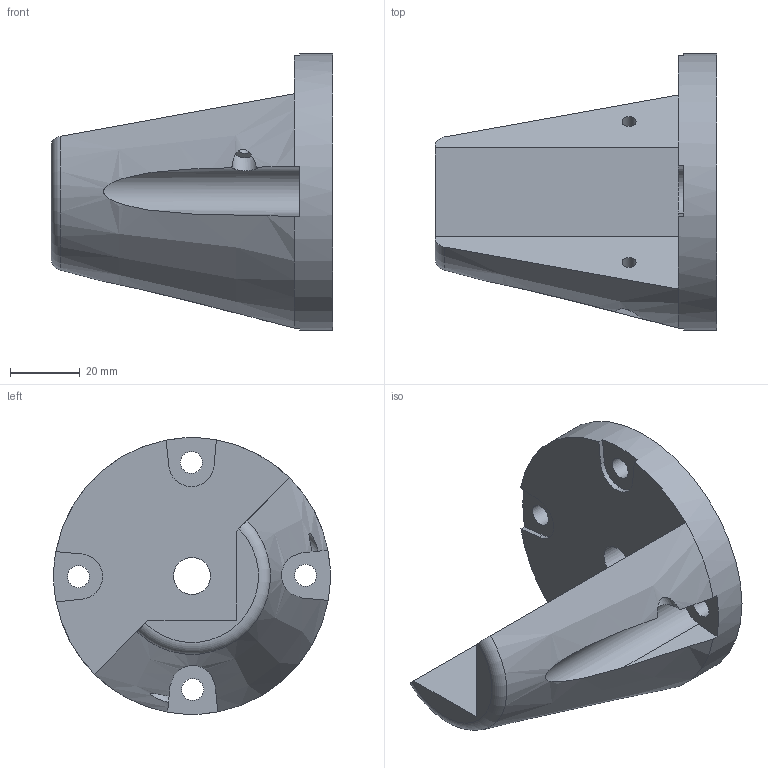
import cadquery as cq
import math

overall_length = 80.64
flange_radius = 39.6
flange_thickness = 11.0
tip_radius = 21.75
tip_fillet = 3.5

split_tilt = 45.0
square_tube = 25.4
centre_bore = 10.6

bolt_count = 4
bolt_circle_radius = 32.5
bolt_hole = 6.3
channel_centre_radius = 32.1
channel_round_radius = 6.5
channel_flare = 5.5
channel_sink = 1.5

screw_hole = 4.0
screw_head_bore = 7.5
screw_spacing = 57.4
screw_from_tip = 55.5
screw_grip = 11.3

clocking = 0.3

tip_x = -overall_length
flange_face_x = -flange_thickness
cone_length = overall_length - flange_thickness
cut_reach = 2 * flange_radius


def make_body():
    """Full cone with a rounded tip, standing on the round flange."""
    cone_profile = [
        (tip_x, 0),
        (tip_x, tip_radius),
        (flange_face_x, flange_radius),
        (0, flange_radius),
        (0, 0),
    ]
    body = cq.Workplane("XY").polyline(cone_profile).close().revolve(360, (0, 0, 0), (1, 0, 0))
    return body.faces("<X").edges().fillet(tip_fillet)


def make_split_cut():
    """Block that removes the half of the cone on the +Y +Z side."""
    block = cq.Workplane("XY").box(cone_length, 2 * cut_reach, cut_reach, centered=(False, True, False))
    return block.rotate((0, 0, 0), (1, 0, 0), -split_tilt).translate((tip_x, 0, 0))


def make_tube_seat():
    """Square seat for a tube centred on the axis, ending at the flange."""
    return cq.Workplane("YZ", origin=(tip_x, 0, 0)).rect(square_tube, square_tube).extrude(cone_length)


def make_bolt_channel():
    """Round-bottomed channel on the +Z side whose walls open outwards."""
    flare = math.radians(channel_flare)
    tangent_y = channel_round_radius * math.cos(flare)
    tangent_z = channel_centre_radius - channel_round_radius * math.sin(flare)
    outer_y = tangent_y + (cut_reach - tangent_z) * math.tan(flare)
    bottom_z = channel_centre_radius - channel_round_radius
    return (
        cq.Workplane("YZ", origin=(tip_x, 0, 0))
        .moveTo(-outer_y, cut_reach)
        .lineTo(-tangent_y, tangent_z)
        .threePointArc((0, bottom_z), (tangent_y, tangent_z))
        .lineTo(outer_y, cut_reach)
        .close()
        .extrude(cone_length + channel_sink)
    )


def make_screw_cut(side):
    """Screw hole square to the split face, with a head bore out through the cone."""
    across = side * screw_spacing / 2
    hole = cq.Workplane("XY").center(0, across).circle(screw_hole / 2).extrude(-cut_reach)
    head = (
        cq.Workplane("XY", origin=(0, 0, -screw_grip))
        .center(0, across)
        .circle(screw_head_bore / 2)
        .extrude(-cut_reach)
    )
    cut = hole.union(head)
    return cut.rotate((0, 0, 0), (1, 0, 0), -split_tilt).translate((tip_x + screw_from_tip, 0, 0))


def make_flange_holes():
    """Centre bore and bolt holes through the flange."""
    plane = cq.Workplane("YZ", origin=(flange_face_x, 0, 0))
    bore = plane.circle(centre_bore / 2).extrude(flange_thickness)
    bolts = (
        plane.polarArray(bolt_circle_radius, 0, 360, bolt_count)
        .circle(bolt_hole / 2)
        .extrude(flange_thickness)
    )
    return bore.union(bolts)


part = make_body().cut(make_split_cut()).cut(make_tube_seat())
for index in range(bolt_count):
    channel_angle = index * 360 / bolt_count
    part = part.cut(make_bolt_channel().rotate((0, 0, 0), (1, 0, 0), channel_angle))
for side in (-1, 1):
    part = part.cut(make_screw_cut(side))
part = part.cut(make_flange_holes())

result = part.rotate((0, 0, 0), (1, 0, 0), -clocking)